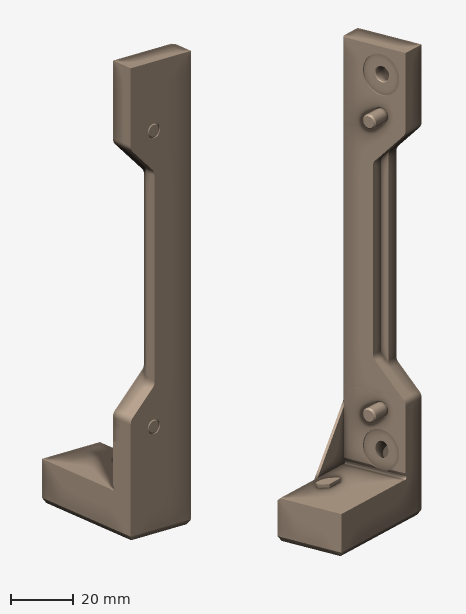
import cadquery as cq
import math

LENGTH = 45.0
WIDTH = 24.8
HEIGHT = 161.6
UPRIGHT_THICKNESS = 9.0
BASE_HEIGHT = 15.0
FACE_X = LENGTH - UPRIGHT_THICKNESS

FOOT_HEIGHT = 1.75
FOOT_INSET = 1.0

INNER_CHAMFER = 1.0
GUSSET_FOOT_X = 21.1
GUSSET_SLOPE = 1.345

RELIEF_RISE = 2.0
RELIEF_RUN = 1.4
UPRIGHT_RELIEF_DEPTH = 0.5
BASE_RELIEF_DEPTH = 0.2
RELIEF_RADIUS = 0.6
RELIEF_LEAD_IN = math.radians(24)

PIN_SPACING = 101.0
LOWER_PIN_Z = 37.0
PIN_Z = [LOWER_PIN_Z, LOWER_PIN_Z + PIN_SPACING]
WAIST_MID_Z = sum(PIN_Z) / 2
WAIST_HALF_OPENING = 46.2
FRONT_WAIST_DEPTH = 12.7
REAR_WAIST_DEPTH = 9.8
FRONT_WAIST_THICKNESS = UPRIGHT_THICKNESS / 2
WAIST_RADIUS = 3.0

PAD_RISE = 0.05
PAD_EDGE_TO_MIDDLE = 45.3
TOP_RELIEF_HEIGHT = 2.0

HOLE_LINE_Y = 9.5
HOLE_TO_PIN = 14.0
LOWER_HOLE_Z = PIN_Z[0] - HOLE_TO_PIN
UPPER_HOLE_Z = PIN_Z[1] + HOLE_TO_PIN
HOLE_DIAMETER = 5.0
HOLE_DEPTH = 5.0
MOUTH_CHAMFER = 0.25
LOWER_HOLE_TILT = 30.0
SPOTFACE_DIAMETER = 14.0
SPOTFACE_DEPTH = 0.5

PIN_DIAMETER = 5.0
PIN_PROJECTION = 7.0
PIN_CHAMFER = 0.5

STOP_HEIGHT = 1.5
STOP_HEEL = (15.9, 15.6)
STOP_TIP = (22.3, 15.6)
STOP_BACK = (19.6, 18.9)
STOP_SHOULDER = (15.9, 20.0)
STOP_CORNER = (14.4, 20.0)
STOP_NOSE = (13.4, 18.2)
OVERLAP = 1.0


def base_and_upright():
    outline = [
        (0, FOOT_HEIGHT), (LENGTH, FOOT_HEIGHT), (LENGTH, HEIGHT),
        (FACE_X, HEIGHT), (FACE_X, BASE_HEIGHT), (0, BASE_HEIGHT),
    ]
    body = cq.Workplane("XZ").polyline(outline).close().extrude(-WIDTH)
    inner_edges = body.edges(
        cq.selectors.BoxSelector(
            (-OVERLAP, WIDTH - OVERLAP, BASE_HEIGHT - OVERLAP),
            (FACE_X + OVERLAP, WIDTH + OVERLAP, HEIGHT - OVERLAP),
        )
    )
    return inner_edges.chamfer(INNER_CHAMFER).union(foot())


def foot():
    top = cq.Workplane("XY", origin=(0, 0, FOOT_HEIGHT)).rect(LENGTH, WIDTH, centered=False)
    return top.extrude(-FOOT_HEIGHT, taper=math.degrees(math.atan(FOOT_INSET / FOOT_HEIGHT)))


def gusset():
    foot_z = BASE_HEIGHT - INNER_CHAMFER
    back_x = FACE_X + INNER_CHAMFER
    outline = [
        (GUSSET_FOOT_X - INNER_CHAMFER / GUSSET_SLOPE, foot_z),
        (back_x, foot_z),
        (back_x, BASE_HEIGHT + GUSSET_SLOPE * (back_x - GUSSET_FOOT_X)),
    ]
    plane = cq.Workplane("XZ", origin=(0, WIDTH - INNER_CHAMFER, 0))
    return plane.polyline(outline).close().extrude(-INNER_CHAMFER)


def corner_relief():
    wall_x = FACE_X + UPRIGHT_RELIEF_DEPTH
    floor_z = BASE_HEIGHT - BASE_RELIEF_DEPTH
    lead_in_rise = UPRIGHT_RELIEF_DEPTH / math.tan(RELIEF_LEAD_IN)
    outline = [
        (FACE_X, BASE_HEIGHT + RELIEF_RISE),
        (wall_x, BASE_HEIGHT + RELIEF_RISE - lead_in_rise),
        (wall_x, floor_z),
        (FACE_X - RELIEF_RUN, BASE_HEIGHT),
        (FACE_X, BASE_HEIGHT),
    ]
    groove = cq.Workplane("XZ").polyline(outline).close().extrude(-(WIDTH - INNER_CHAMFER))
    return groove.edges("|Y and >X and <Z").fillet(RELIEF_RADIUS)


def waist_cut(start_x, thickness, depth):
    half_floor = WAIST_HALF_OPENING - depth
    half_reach = WAIST_HALF_OPENING + WAIST_RADIUS
    half_outline = [(-OVERLAP, half_reach), (0, half_reach), (0, WAIST_HALF_OPENING), (depth, half_floor)]
    upper = [(y, WAIST_MID_Z + rise) for y, rise in half_outline]
    lower = [(y, WAIST_MID_Z - rise) for y, rise in reversed(half_outline)]
    cut = cq.Workplane("YZ", origin=(start_x, 0, 0)).polyline(upper + lower).close().extrude(thickness)
    shoulder_corners = cq.selectors.BoxSelector(
        (start_x, -OVERLAP, WAIST_MID_Z - WAIST_HALF_OPENING - OVERLAP),
        (start_x + thickness, depth + OVERLAP, WAIST_MID_Z + WAIST_HALF_OPENING + OVERLAP),
    )
    return cut.edges("|X").edges(shoulder_corners).fillet(WAIST_RADIUS)


def face_relief(bottom_z, top_z):
    plane = cq.Workplane("XY", origin=(FACE_X, 0, bottom_z))
    return plane.rect(2 * PAD_RISE, 2 * WIDTH).extrude(top_z - bottom_z)


def leaf_stop():
    return (
        cq.Workplane("XY", origin=(0, 0, BASE_HEIGHT - OVERLAP))
        .moveTo(*STOP_HEEL)
        .lineTo(*STOP_TIP)
        .threePointArc(STOP_BACK, STOP_SHOULDER)
        .lineTo(*STOP_CORNER)
        .lineTo(*STOP_NOSE)
        .close()
        .extrude(STOP_HEIGHT + OVERLAP)
    )


def face_cylinder(z, diameter, start_x, length):
    plane = cq.Workplane("YZ", origin=(start_x, HOLE_LINE_Y, z))
    return plane.circle(diameter / 2).extrude(length)


def mouth_chamfer(z, hole_diameter, start_x):
    plane = cq.Workplane("YZ", origin=(start_x, HOLE_LINE_Y, z))
    return plane.circle(hole_diameter / 2 + MOUTH_CHAMFER).extrude(MOUTH_CHAMFER, taper=45)


def spotface(z):
    return face_cylinder(z, SPOTFACE_DIAMETER, FACE_X - RELIEF_RUN, RELIEF_RUN + SPOTFACE_DEPTH)


def blind_hole(z, tilt):
    mouth = (FACE_X + SPOTFACE_DEPTH, HOLE_LINE_Y, z)
    hole = face_cylinder(z, HOLE_DIAMETER, mouth[0] - HOLE_DIAMETER, HOLE_DIAMETER + HOLE_DEPTH)
    return hole.rotate(mouth, (mouth[0], mouth[1] + 1, mouth[2]), tilt)


def pin_hole(z):
    hole = face_cylinder(z, PIN_DIAMETER, FACE_X, UPRIGHT_THICKNESS)
    return hole.union(mouth_chamfer(z, PIN_DIAMETER, FACE_X))


def make_bracket():
    body = base_and_upright().union(gusset()).union(leaf_stop()).cut(corner_relief())
    body = body.cut(waist_cut(FACE_X, FRONT_WAIST_THICKNESS, FRONT_WAIST_DEPTH))
    body = body.cut(waist_cut(FACE_X, UPRIGHT_THICKNESS, REAR_WAIST_DEPTH))
    body = body.cut(face_relief(WAIST_MID_Z - PAD_EDGE_TO_MIDDLE, WAIST_MID_Z + PAD_EDGE_TO_MIDDLE))
    body = body.cut(face_relief(HEIGHT - TOP_RELIEF_HEIGHT, HEIGHT))
    for z, tilt in ((LOWER_HOLE_Z, LOWER_HOLE_TILT), (UPPER_HOLE_Z, 0)):
        body = body.cut(spotface(z)).cut(blind_hole(z, tilt))
    body = body.cut(mouth_chamfer(UPPER_HOLE_Z, HOLE_DIAMETER, FACE_X + SPOTFACE_DEPTH))
    for z in PIN_Z:
        body = body.cut(pin_hole(z))
    return body


def make_pin(z):
    pin = face_cylinder(z, PIN_DIAMETER, FACE_X - PIN_PROJECTION, PIN_PROJECTION + UPRIGHT_THICKNESS)
    return pin.faces("<X or >X").chamfer(PIN_CHAMFER)


bracket = make_bracket()
pins = [make_pin(z) for z in PIN_Z]

result = cq.Compound.makeCompound([bracket.val(), *[pin.val() for pin in pins]])